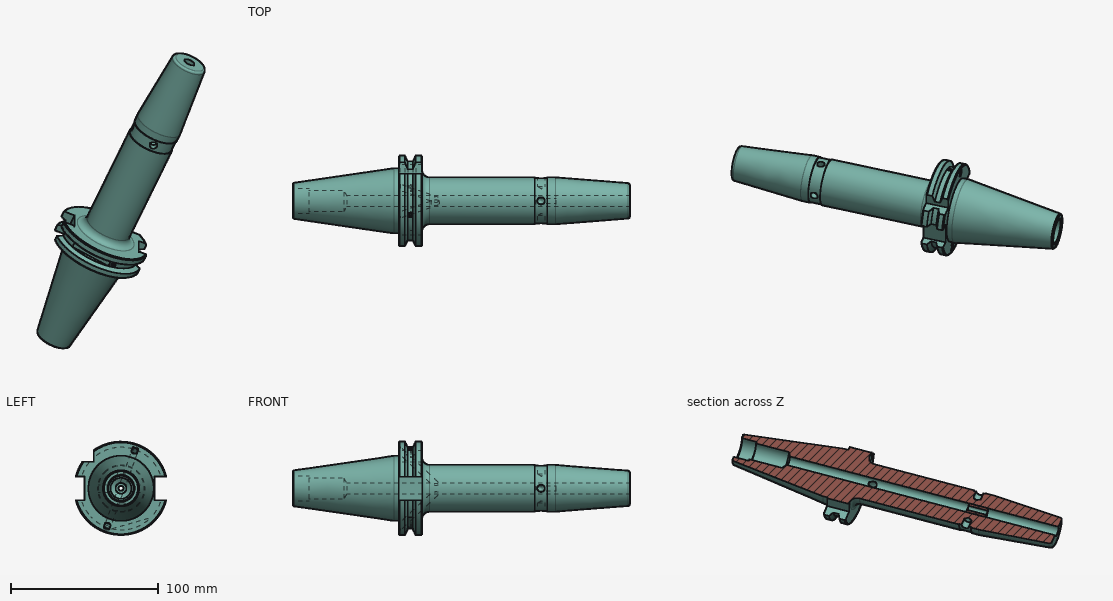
import cadquery as cq
import math


TOTAL_LENGTH = 228.5
GAUGE_X = 68.3
GAUGE_RADIUS = 22.2
TAPER_SLOPE = 7 / 48
TAPER_END_RADIUS = GAUGE_RADIUS - GAUGE_X * TAPER_SLOPE
TAPER_CHAMFER = 0.7

FLANGE_START_X = 71.7
FLANGE_END_X = 87.5
FLANGE_RADIUS = 31.7
FLANGE_CHAMFER = 0.7
GROOVE_CENTRE_X = 79.5
GROOVE_FLOOR_RADIUS = 28.0
GROOVE_FLOOR_WIDTH = 3.7
GROOVE_FLANK_ANGLE = 27
GROOVE_MOUTH_WIDTH = GROOVE_FLOOR_WIDTH + 2 * (
    FLANGE_RADIUS - GROOVE_FLOOR_RADIUS
) * math.tan(math.radians(GROOVE_FLANK_ANGLE))

DRIVE_SLOT_WIDTH = 16.0
DRIVE_SLOT_FLOOR_PLUS_Y = 25.0
DRIVE_SLOT_FLOOR_MINUS_Y = 22.8
NOTCH_WALL_Y = 18.5
NOTCH_FLOOR_Z = 18.0
FLAT_DISTANCE = 24.5
FLAT_TILT = 16

SHANK_RADIUS = 16.0
SHANK_FILLET = 5.0
BAND_START_X = 163.8
BAND_END_X = 172.2
BAND_RADIUS = 15.5
NOSE_START_X = 177.7
NOSE_ANGLE = 4.5
NOSE_ROUND = 1.8

PILOT_RADIUS = 8.5
PILOT_CHAMFER = 0.7
PILOT_DEPTH = 10.7
THREAD_RADIUS = 7.0
THREAD_DEPTH = 34.3
DRILL_TIP_ANGLE = 59
CHANNEL_RADIUS = 3.7

BALANCE_HOLE_COUNT = 4
BALANCE_HOLE_X = 168.0
BALANCE_HOLE_RADIUS = 2.5
BALANCE_HOLE_DEPTH = 5.7

COOLANT_FIRST_ANGLE = 110
COOLANT_ANGLES = (COOLANT_FIRST_ANGLE, COOLANT_FIRST_ANGLE + 180)
COOLANT_CIRCLE_RADIUS = 27.0
COOLANT_HOLE_RADIUS = 2.0
COOLANT_SLANT = 45
COOLANT_MOUTH_DEPTH = 1.1
PLUG_RADIUS = 1.5
PLUG_LENGTH = 2.7
PLUG_RECESS_RADIUS = 1.1
PLUG_RECESS_DEPTH = 1.4

STOP_SCREW_START_X = 164.5
STOP_SCREW_LENGTH = 13.7
STOP_SCREW_HOLE_RADIUS = 1.5


def drilled(radius, depth, start, direction):
    """Blind hole with a conical tip; the depth ends where the tip begins."""
    tip = radius / math.tan(math.radians(DRILL_TIP_ANGLE))
    side = cq.Workplane("XZ").polyline([(0, 0), (radius, 0), (radius, depth), (0, depth + tip)]).close()
    hole = side.revolve(360, (0, 0, 0), (0, 1, 0)).val()
    plane = cq.Plane(origin=start, normal=direction)
    return cq.Workplane(obj=hole.moved(cq.Location(plane)))


def outer_body():
    """Turned outside of the holder, without bores or cut-outs."""
    nose_drop = (TOTAL_LENGTH - NOSE_START_X) * math.tan(math.radians(NOSE_ANGLE))
    nose_radius = SHANK_RADIUS - nose_drop
    half_mouth = GROOVE_MOUTH_WIDTH / 2
    half_floor = GROOVE_FLOOR_WIDTH / 2
    profile = (
        cq.Workplane("XY")
        .moveTo(0, 0)
        .lineTo(0, TAPER_END_RADIUS - TAPER_CHAMFER)
        .lineTo(TAPER_CHAMFER, TAPER_END_RADIUS + TAPER_CHAMFER * TAPER_SLOPE)
        .lineTo(GAUGE_X, GAUGE_RADIUS)
        .lineTo(FLANGE_START_X, GAUGE_RADIUS)
        .lineTo(FLANGE_START_X, FLANGE_RADIUS - FLANGE_CHAMFER)
        .lineTo(FLANGE_START_X + FLANGE_CHAMFER, FLANGE_RADIUS)
        .lineTo(GROOVE_CENTRE_X - half_mouth, FLANGE_RADIUS)
        .lineTo(GROOVE_CENTRE_X - half_floor, GROOVE_FLOOR_RADIUS)
        .lineTo(GROOVE_CENTRE_X + half_floor, GROOVE_FLOOR_RADIUS)
        .lineTo(GROOVE_CENTRE_X + half_mouth, FLANGE_RADIUS)
        .lineTo(FLANGE_END_X - FLANGE_CHAMFER, FLANGE_RADIUS)
        .lineTo(FLANGE_END_X, FLANGE_RADIUS - FLANGE_CHAMFER)
        .lineTo(FLANGE_END_X, SHANK_RADIUS + SHANK_FILLET)
        .radiusArc((FLANGE_END_X + SHANK_FILLET, SHANK_RADIUS), -SHANK_FILLET)
        .lineTo(BAND_START_X, SHANK_RADIUS)
        .lineTo(BAND_START_X, BAND_RADIUS)
        .lineTo(BAND_END_X, BAND_RADIUS)
        .lineTo(BAND_END_X, SHANK_RADIUS)
        .lineTo(NOSE_START_X, SHANK_RADIUS)
        .lineTo(TOTAL_LENGTH, nose_radius)
        .lineTo(TOTAL_LENGTH, 0)
        .close()
    )
    body = profile.revolve(360, (0, 0, 0), (1, 0, 0))
    return body.faces(">X").edges().fillet(NOSE_ROUND)


def axial_bore():
    """Chamfered pilot, thread bore with a conical end, and the channel through to the nose."""
    tip = (THREAD_RADIUS - CHANNEL_RADIUS) / math.tan(math.radians(DRILL_TIP_ANGLE))
    profile = cq.Workplane("XY").polyline(
        [
            (0, 0),
            (0, PILOT_RADIUS + PILOT_CHAMFER),
            (PILOT_CHAMFER, PILOT_RADIUS),
            (PILOT_DEPTH, PILOT_RADIUS),
            (PILOT_DEPTH, THREAD_RADIUS),
            (THREAD_DEPTH, THREAD_RADIUS),
            (THREAD_DEPTH + tip, CHANNEL_RADIUS),
            (TOTAL_LENGTH, CHANNEL_RADIUS),
            (TOTAL_LENGTH, 0),
        ]
    )
    return profile.close().revolve(360, (0, 0, 0), (1, 0, 0))


def block(x_range, y_range, z_range):
    """Box given by its (low, high) limits along each axis."""
    sizes = [high - low for low, high in (x_range, y_range, z_range)]
    corner = cq.Vector(x_range[0], y_range[0], z_range[0])
    return cq.Workplane(obj=cq.Solid.makeBox(*sizes, corner))


def flange_cutouts():
    """Two drive slots of unequal depth, a corner notch and a tilted flat in the groove floor."""
    along = (FLANGE_START_X, FLANGE_END_X)
    half_slot = (-DRIVE_SLOT_WIDTH / 2, DRIVE_SLOT_WIDTH / 2)
    slot_plus = block(along, (DRIVE_SLOT_FLOOR_PLUS_Y, FLANGE_RADIUS), half_slot)
    slot_minus = block(along, (-FLANGE_RADIUS, -DRIVE_SLOT_FLOOR_MINUS_Y), half_slot)
    notch = block(along, (NOTCH_WALL_Y, FLANGE_RADIUS), (NOTCH_FLOOR_Z, FLANGE_RADIUS))
    half_floor = GROOVE_FLOOR_WIDTH / 2
    floor = (GROOVE_CENTRE_X - half_floor, GROOVE_CENTRE_X + half_floor)
    flat = block(floor, (-FLANGE_RADIUS, FLANGE_RADIUS), (-FLANGE_RADIUS, -FLAT_DISTANCE))
    flat = flat.rotate((0, 0, 0), (1, 0, 0), -FLAT_TILT)
    return [slot_plus, slot_minus, notch, flat]


def outward(angle):
    """Unit vector away from the axis; the angle runs from +Y towards +Z."""
    return cq.Vector(0, math.cos(math.radians(angle)), math.sin(math.radians(angle)))


def coolant_hole(angle):
    """Short straight mouth in the flange face, then a channel slanting in to the axial bore."""
    slant = math.radians(COOLANT_SLANT)
    start = cq.Vector(FLANGE_START_X, 0, 0) + outward(angle) * COOLANT_CIRCLE_RADIUS
    bend = start + cq.Vector(COOLANT_MOUTH_DEPTH, 0, 0)
    direction = cq.Vector(math.cos(slant), 0, 0) - outward(angle) * math.sin(slant)
    back = bend - direction * COOLANT_HOLE_RADIUS
    length = COOLANT_CIRCLE_RADIUS / math.sin(slant) + COOLANT_HOLE_RADIUS
    mouth = cq.Solid.makeCylinder(COOLANT_HOLE_RADIUS, COOLANT_MOUTH_DEPTH, start, cq.Vector(1, 0, 0))
    channel = cq.Solid.makeCylinder(COOLANT_HOLE_RADIUS, length, back, direction)
    return mouth.fuse(channel)


def balance_hole(angle):
    """Radial blind hole in the shank band."""
    start = cq.Vector(BALANCE_HOLE_X, 0, 0) + outward(angle) * BAND_RADIUS
    return drilled(BALANCE_HOLE_RADIUS, BALANCE_HOLE_DEPTH, start, outward(angle) * -1)


def plug_blank(angle):
    """Cylinder that fills a plug hole flush with the groove floor."""
    centre = cq.Vector(GROOVE_CENTRE_X, 0, 0)
    bottom = centre + outward(angle) * (GROOVE_FLOOR_RADIUS - PLUG_LENGTH)
    blank = cq.Solid.makeCylinder(PLUG_RADIUS, 2 * PLUG_LENGTH, bottom, outward(angle))
    floor = cq.Solid.makeCylinder(GROOVE_FLOOR_RADIUS, TOTAL_LENGTH, cq.Vector(0, 0, 0), cq.Vector(1, 0, 0))
    return cq.Workplane(obj=blank.intersect(floor))


def make_holder():
    holder = outer_body().cut(axial_bore())
    for cutout in flange_cutouts():
        holder = holder.cut(cutout)
    for angle in COOLANT_ANGLES:
        holder = holder.cut(cq.Workplane(obj=coolant_hole(angle)))
        holder = holder.cut(plug_blank(angle))
    for i in range(BALANCE_HOLE_COUNT):
        holder = holder.cut(balance_hole(i * 360 / BALANCE_HOLE_COUNT))
    return holder


def make_plug(angle):
    """Groove plug with a drilled recess in its outer end."""
    start = cq.Vector(GROOVE_CENTRE_X, 0, 0) + outward(angle) * GROOVE_FLOOR_RADIUS
    recess = drilled(PLUG_RECESS_RADIUS, PLUG_RECESS_DEPTH, start, outward(angle) * -1)
    return plug_blank(angle).cut(recess)


def make_stop_screw():
    """Screw with a through hole that fills the channel."""
    screw = cq.Workplane("YZ", origin=(STOP_SCREW_START_X, 0, 0))
    screw = screw.circle(CHANNEL_RADIUS).circle(STOP_SCREW_HOLE_RADIUS)
    return screw.extrude(STOP_SCREW_LENGTH)


holder = make_holder()
stop_screw = make_stop_screw()
plugs = [make_plug(angle) for angle in COOLANT_ANGLES]

result = cq.Compound.makeCompound([holder.val(), stop_screw.val(), *[plug.val() for plug in plugs]])